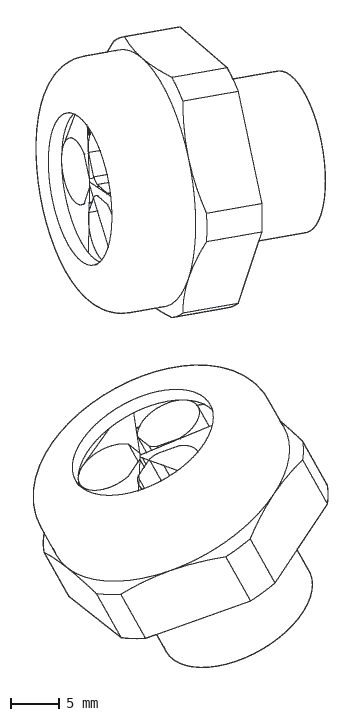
import cadquery as cq
import math

tube_length = 10.0
nut_length = 7.0
cap_length = 7.02

tube_diameter = 17.0
nut_sides = 6
nut_across_flats = 27.0
nut_corner_diameter = 29.5
cap_diameter = nut_across_flats
cap_rounding = 3.0
nut_chamfer_length = 0.7

recess_diameter = 16.0
recess_depth = 1.5
hole_count = 3
hole_diameter = 7.02
hole_circle_radius = (recess_diameter - hole_diameter) / 2
web_thickness = 1.25

cap_front = 0
nut_front = cap_front + cap_length
nut_back = nut_front + nut_length
tube_back = nut_back + tube_length


def cylinder(diameter, start, end):
    """Cylinder on the Y axis between two Y positions."""
    plane = cq.Workplane("XZ", origin=(0, start, 0))
    return plane.circle(diameter / 2).extrude(start - end)


def make_nut():
    """Hexagon with turned corners and a conical chamfer facing the cap."""
    across_corners = nut_across_flats / math.cos(math.pi / nut_sides)
    hexagon = (
        cq.Workplane("XZ", origin=(0, nut_front, 0))
        .polygon(nut_sides, across_corners)
        .extrude(-nut_length)
    )
    corner_radius = nut_corner_diameter / 2
    turned_blank = (
        cq.Workplane("XY")
        .moveTo(0, nut_front)
        .lineTo(nut_across_flats / 2, nut_front)
        .lineTo(corner_radius, nut_front + nut_chamfer_length)
        .lineTo(corner_radius, nut_back)
        .lineTo(0, nut_back)
        .close()
        .revolve(360, (0, 0, 0), (0, 1, 0))
    )
    return hexagon.intersect(turned_blank)


def make_cap():
    """Round cap with a rounded front rim."""
    return cylinder(cap_diameter, cap_front, nut_front).faces("<Y").edges().fillet(cap_rounding)


def make_hole():
    """Through hole on the -X side, flattened where it meets the webs."""
    plane = cq.Workplane("XZ", origin=(0, cap_front, 0))
    hole = plane.center(-hole_circle_radius, 0).circle(hole_diameter / 2).extrude(-tube_back)
    half_angle = math.pi / hole_count
    point_x = -web_thickness / 2 / math.sin(half_angle)
    wedge_x = -recess_diameter
    wedge_z = (point_x - wedge_x) * math.tan(half_angle)
    sector = (
        plane.moveTo(point_x, 0)
        .lineTo(wedge_x, wedge_z)
        .lineTo(wedge_x, -wedge_z)
        .close()
        .extrude(-tube_back)
    )
    return hole.intersect(sector)


result = make_nut().union(make_cap()).union(cylinder(tube_diameter, nut_back, tube_back))
result = result.cut(cylinder(recess_diameter, cap_front, cap_front + recess_depth))

hole = make_hole()
for index in range(hole_count):
    turn = index * 360 / hole_count
    result = result.cut(hole.rotate((0, 0, 0), (0, 1, 0), turn))